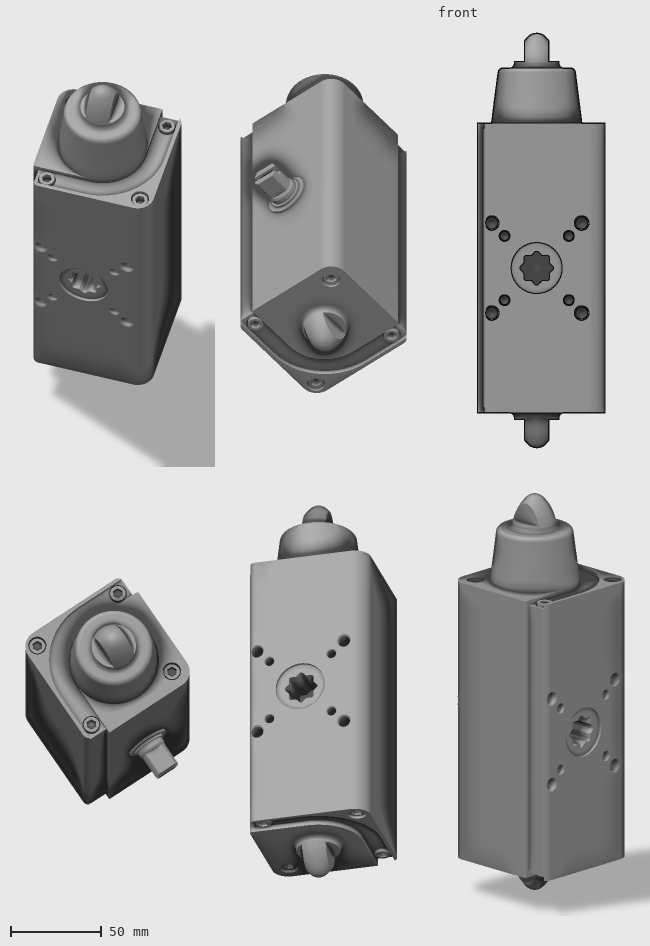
import cadquery as cq
import math


HEIGHT = 159.7
HALF_HEIGHT = HEIGHT / 2
OUTER = 32.7
STEP = 29.5
FLANGE = 37.7
TURRET_R = 25.0
LARGE_CORNER_R = 9.1
SMALL_CORNER_R = 3.7
LIP_CORNER_R = 1.4

BAND_OUTER_R = 35.6
BAND_DEPTH = 2.7

TURRET_HEIGHT = 30.5
TURRET_TOP_R = 21.0
TURRET_EDGE_R = 2.7
KNOB_FOOT_R = 14.9
KNOB_R = 12.3
KNOB_FOOT_FILLET = KNOB_FOOT_R - KNOB_R
KNOB_RIM_HEIGHT = 3.0
KNOB_SIDE_POINT = (9.8, 10.0)
KNOB_TIP_R = 5.0
KNOB_TIP_BASE = 17.0
KNOB_HEIGHT = 19.2
GRIP_WIDTH = 13.5
GRIP_BASE = 3.7

SCREW_SPACING = 53.5
SCREW_CENTER = 3.7
SCREW_BORE_D = 10.0
SCREW_BORE_DEPTH = 5.7
SCREW_HEAD_D = 8.5
SCREW_HEAD_DROP = 1.1
SOCKET_FLATS = 5.0
SOCKET_DEPTH = 4.5
SOCKET_TURN = 90

LARGE_HOLE_D = 6.6
LARGE_HOLE_MOUTH_D = 8.0
LARGE_HOLE_SPACING = 49.5
SMALL_HOLE_D = 5.0
SMALL_HOLE_MOUTH_D = 6.0
SMALL_HOLE_SPACING = 35.5
HOLE_DEPTH = 11.5
DRILL_POINT_ANGLE = 118

SHAFT_D = 28.0
SHAFT_RECESS = 1.5
COLLAR_D = 24.0
COLLAR_LENGTH = 1.4
COLLAR_END = OUTER + COLLAR_LENGTH
RING_D = 18.5
RING_LENGTH = 1.4
RING_END = COLLAR_END + RING_LENGTH
NECK_D = 16.0
NECK_LENGTH = 4.0
NECK_END = RING_END + NECK_LENGTH
NECK_CHAMFER = 1.1
TANG_D = 14.6
TANG_THICKNESS = 10.5
TANG_END = 52.8
TANG_SLOT_WIDTH = 3.5
TANG_SLOT_DEPTH = 4.5
STAR_SQUARE = 14.0
STAR_TIP_D = 18.5
STAR_DEPTH = 22.8


def block(x0, x1, y0, y1, z0, z1):
    """Box between opposite corners."""
    return cq.Workplane("XY").box(x1 - x0, y1 - y0, z1 - z0, centered=False).translate((x0, y0, z0))


def both_ends(shape):
    """The shape and its mirror image about the XY plane."""
    return [shape, shape.mirror("XY")]


def make_block():
    main = block(-OUTER, TURRET_R, -TURRET_R, OUTER, -HALF_HEIGHT, HALF_HEIGHT)
    main = main.edges("|Z and <X and >Y").fillet(LARGE_CORNER_R)
    main = main.edges("|Z and <X and <Y").fillet(LIP_CORNER_R)
    flange = block(-STEP, FLANGE, -FLANGE, STEP, -HALF_HEIGHT, HALF_HEIGHT)
    flange = flange.edges("|Z and >X and <Y").fillet(LARGE_CORNER_R)
    flange = flange.edges("|Z and ((<X and <Y) or (>X and >Y))").fillet(SMALL_CORNER_R)
    return main.union(flange)


def make_band():
    """L-shaped channel around the turret foot, open at the -X and +Y ends."""
    def region(radius, reach):
        return (
            cq.Workplane("XY", origin=(0, 0, HALF_HEIGHT - BAND_DEPTH))
            .moveTo(-reach, -radius)
            .lineTo(0, -radius)
            .radiusArc((radius, 0), -radius)
            .lineTo(radius, reach)
            .lineTo(-reach, reach)
            .close()
            .extrude(BAND_DEPTH)
        )

    return region(BAND_OUTER_R, OUTER).cut(region(TURRET_R, 2 * OUTER))


def make_turret():
    return (
        cq.Workplane("XY", origin=(0, 0, HALF_HEIGHT))
        .circle(TURRET_R)
        .workplane(offset=TURRET_HEIGHT)
        .circle(TURRET_TOP_R)
        .loft()
        .faces(">Z")
        .edges()
        .fillet(TURRET_EDGE_R)
    )


def make_knob(base_z):
    """Rounded knob with a flat-sided grip, standing on the plane z = base_z."""
    arc_shift = KNOB_FOOT_FILLET * (1 - math.sqrt(0.5))
    cap_r = (KNOB_TIP_R**2 + (KNOB_HEIGHT - KNOB_TIP_BASE) ** 2) / (2 * (KNOB_HEIGHT - KNOB_TIP_BASE))
    knob = (
        cq.Workplane("XZ")
        .moveTo(0, 0)
        .lineTo(KNOB_FOOT_R, 0)
        .threePointArc((KNOB_R + arc_shift, arc_shift), (KNOB_R, KNOB_FOOT_FILLET))
        .lineTo(KNOB_R, KNOB_RIM_HEIGHT)
        .threePointArc(KNOB_SIDE_POINT, (KNOB_TIP_R, KNOB_TIP_BASE))
        .radiusArc((0, KNOB_HEIGHT), -cap_r)
        .close()
        .revolve(360, (0, 0, 0), (0, 1, 0))
    )
    for side in (-1, 1):
        x0, x1 = sorted((side * GRIP_WIDTH / 2, side * KNOB_FOOT_R))
        knob = knob.cut(block(x0, x1, -KNOB_FOOT_R, KNOB_FOOT_R, GRIP_BASE, KNOB_HEIGHT))
    return knob.translate((0, 0, base_z))


def screw_points():
    half = SCREW_SPACING / 2
    return [(SCREW_CENTER + sx * half, -SCREW_CENTER + sy * half) for sx in (-1, 1) for sy in (-1, 1)]


def make_screw_bores():
    return (
        cq.Workplane("XY", origin=(0, 0, HALF_HEIGHT - SCREW_BORE_DEPTH))
        .pushPoints(screw_points())
        .circle(SCREW_BORE_D / 2)
        .extrude(SCREW_BORE_DEPTH)
    )


def make_screw_heads():
    """Socket screw heads standing on the counterbore floors, one piece with the housing."""
    heads = (
        cq.Workplane("XY", origin=(0, 0, HALF_HEIGHT - SCREW_BORE_DEPTH))
        .pushPoints(screw_points())
        .circle(SCREW_HEAD_D / 2)
        .extrude(SCREW_BORE_DEPTH - SCREW_HEAD_DROP)
    )
    socket_outline = cq.Sketch().regularPolygon(SOCKET_FLATS / math.sqrt(3), 6, angle=SOCKET_TURN)
    sockets = (
        cq.Workplane("XY", origin=(0, 0, HALF_HEIGHT - SCREW_HEAD_DROP))
        .pushPoints(screw_points())
        .placeSketch(socket_outline)
        .extrude(-SOCKET_DEPTH)
    )
    return heads.cut(sockets)


def make_mounting_holes(spacing, core_d, mouth_d):
    """Four blind holes around the shaft, each with a chamfered mouth and a drill point."""
    core_r = core_d / 2
    mouth_r = mouth_d / 2
    point_depth = core_r / math.tan(math.radians(DRILL_POINT_ANGLE / 2))
    hole = (
        cq.Workplane("XY")
        .moveTo(0, 0)
        .lineTo(mouth_r, 0)
        .lineTo(core_r, mouth_r - core_r)
        .lineTo(core_r, HOLE_DEPTH)
        .lineTo(0, HOLE_DEPTH + point_depth)
        .close()
        .revolve(360, (0, 0, 0), (0, 1, 0))
        .translate((0, -FLANGE, 0))
    )
    half = spacing / 2
    return [hole.translate((sx * half, 0, sz * half)) for sx in (-1, 1) for sz in (-1, 1)]


def y_cylinder(diameter, y0, y1):
    return cq.Workplane("XZ", origin=(0, y0, 0)).circle(diameter / 2).extrude(y0 - y1)


def make_housing():
    housing = make_block()
    for band in both_ends(make_band()):
        housing = housing.cut(band)
    housing = housing.union(make_turret())
    housing = housing.union(make_knob(HALF_HEIGHT + TURRET_HEIGHT))
    housing = housing.union(make_knob(HALF_HEIGHT).mirror("XY"))
    for bores in both_ends(make_screw_bores()):
        housing = housing.cut(bores)
    for heads in both_ends(make_screw_heads()):
        housing = housing.union(heads)
    large_holes = make_mounting_holes(LARGE_HOLE_SPACING, LARGE_HOLE_D, LARGE_HOLE_MOUTH_D)
    small_holes = make_mounting_holes(SMALL_HOLE_SPACING, SMALL_HOLE_D, SMALL_HOLE_MOUTH_D)
    for hole in large_holes + small_holes:
        housing = housing.cut(hole)
    return housing.cut(y_cylinder(SHAFT_D, -FLANGE, OUTER))


def make_star_socket(front_y):
    """Eight-pointed socket made of two squares turned 45 degrees apart, with blunt tips."""
    square = cq.Workplane("XZ", origin=(0, front_y, 0)).rect(STAR_SQUARE, STAR_SQUARE).extrude(-STAR_DEPTH)
    star = square.union(square.rotate((0, 0, 0), (0, 1, 0), 45))
    return star.intersect(y_cylinder(STAR_TIP_D, front_y, front_y + STAR_DEPTH))


def make_tang():
    """Round end with two flats and a screwdriver slot across its tip."""
    tang = y_cylinder(TANG_D, NECK_END, TANG_END)
    half = TANG_THICKNESS / 2
    tang = tang.intersect(block(-TANG_D, TANG_D, NECK_END, TANG_END, -half, half))
    slot_half = TANG_SLOT_WIDTH / 2
    return tang.cut(block(-TANG_D, TANG_D, TANG_END - TANG_SLOT_DEPTH, TANG_END, -slot_half, slot_half))


def make_shaft():
    front_y = -FLANGE + SHAFT_RECESS
    neck = y_cylinder(NECK_D, RING_END, NECK_END).faces(">Y").chamfer(NECK_CHAMFER, (NECK_D - TANG_D) / 2)
    return (
        y_cylinder(SHAFT_D, front_y, OUTER)
        .cut(make_star_socket(front_y))
        .union(y_cylinder(COLLAR_D, OUTER, COLLAR_END))
        .union(y_cylinder(RING_D, COLLAR_END, RING_END))
        .union(neck)
        .union(make_tang())
    )


housing = make_housing()
shaft = make_shaft()
result = cq.Compound.makeCompound([housing.val(), shaft.val()])